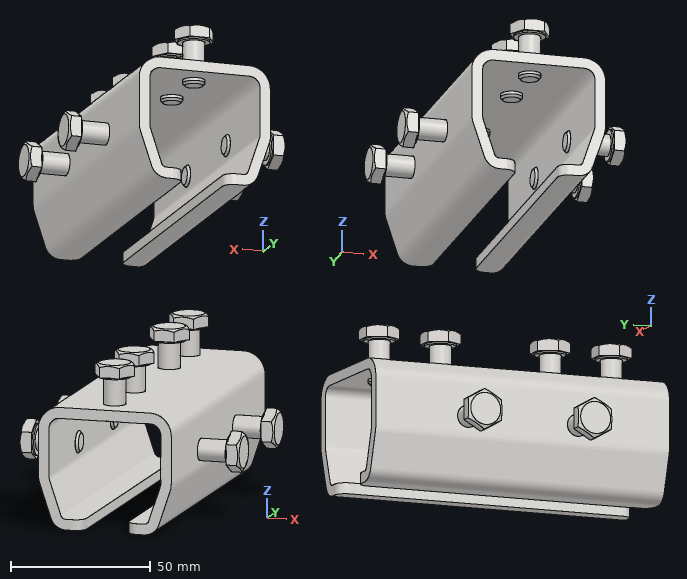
import cadquery as cq
import math

CHANNEL_LENGTH = 115.0
CHANNEL_WIDTH = 50.0
CHANNEL_HEIGHT = 45.0
WALL = 4.0
FLANK_ANGLE = 18.5
BEND_HEIGHT = 18.0
TOP_RADIUS = 8.0
BEND_RADIUS = 8.6
LIP_RADIUS = 6.0
SLOT_WIDTH = 16.0
LIP_CORNER_RADIUS = 4.0

SHANK_DIAMETER = 8.0
SHANK_LENGTH = 16.0
TIP_CHAMFER_LENGTH = 0.9
TIP_CHAMFER_DEPTH = 0.8
HEAD_SIDES = 6
HEAD_ACROSS_FLATS = 13.0
HEAD_HEIGHT = 5.3
WASHER_FACE_HEIGHT = 0.6
HEAD_FACE_DIAMETER = 11.7
CROWN_ANGLE = 30.0

TOTAL_WIDTH = 82.6
TOTAL_HEIGHT = 60.3
INNER_BOLT_Y = 21.5
OUTER_BOLT_Y = 45.4
SIDE_BOLT_HEIGHT = 25.0

BOLT_LENGTH = SHANK_LENGTH + HEAD_HEIGHT
TOP_TIP_Z = TOTAL_HEIGHT - BOLT_LENGTH
SIDE_TIP_X = TOTAL_WIDTH / 2 - BOLT_LENGTH
TOP_BOLT_YS = (-OUTER_BOLT_Y, -INNER_BOLT_Y, INNER_BOLT_Y, OUTER_BOLT_Y)
SIDE_BOLT_YS = (-INNER_BOLT_Y, INNER_BOLT_Y)


def rounded_prism(inset):
    """Full-length prism of the channel outline, moved inward by inset, with rounded bends."""
    lean = math.radians(FLANK_ANGLE)
    half_width = CHANNEL_WIDTH / 2 - inset
    top = CHANNEL_HEIGHT - inset
    bend = BEND_HEIGHT + inset * math.tan(lean / 2)
    floor_half_width = half_width - (bend - inset) * math.tan(lean)
    right_corners = [(floor_half_width, inset), (half_width, bend), (half_width, top)]
    left_corners = [(-x, z) for x, z in reversed(right_corners)]
    prism = (
        cq.Workplane("XZ")
        .polyline(right_corners + left_corners)
        .close()
        .extrude(CHANNEL_LENGTH / 2, both=True)
    )
    radii = (LIP_RADIUS, BEND_RADIUS, TOP_RADIUS)
    for (x, z), radius in zip(right_corners, radii):
        for side in (-1, 1):
            corner_edge = cq.selectors.NearestToPointSelector((side * x, 0, z))
            prism = prism.edges("|Y").edges(corner_edge).fillet(radius - inset)
    return prism


def make_channel():
    """Hollow profile with a bottom slot, rounded lip corners and one hole per bolt."""
    channel = rounded_prism(0).cut(rounded_prism(WALL))
    slot = cq.Workplane("XY").box(SLOT_WIDTH, CHANNEL_LENGTH, 2 * WALL)
    channel = channel.cut(slot)
    lip_zone = cq.selectors.BoxSelector(
        (-SLOT_WIDTH, -CHANNEL_LENGTH, 0),
        (SLOT_WIDTH, CHANNEL_LENGTH, WALL),
    )
    channel = channel.edges("|Z").edges(lip_zone).fillet(LIP_CORNER_RADIUS)

    shank_radius = SHANK_DIAMETER / 2
    for y in TOP_BOLT_YS:
        hole = cq.Solid.makeCylinder(shank_radius, SHANK_LENGTH, cq.Vector(0, y, TOP_TIP_Z))
        channel = channel.cut(cq.Workplane(hole))
    for y in SIDE_BOLT_YS:
        hole = cq.Solid.makeCylinder(
            shank_radius,
            CHANNEL_WIDTH,
            cq.Vector(-CHANNEL_WIDTH / 2, y, SIDE_BOLT_HEIGHT),
            cq.Vector(1, 0, 0),
        )
        channel = channel.cut(cq.Workplane(hole))
    return channel


def make_bolt():
    """Bolt along +Z with its tip at the origin and two head corners on the X axis."""
    shank_radius = SHANK_DIAMETER / 2
    face_radius = HEAD_FACE_DIAMETER / 2
    across_corners = HEAD_ACROSS_FLATS / math.cos(math.pi / HEAD_SIDES)
    corner_radius = across_corners / 2
    head_base = SHANK_LENGTH + WASHER_FACE_HEIGHT
    crown_drop = (corner_radius - face_radius) * math.tan(math.radians(CROWN_ANGLE))

    hexagon = (
        cq.Workplane("XY")
        .workplane(offset=head_base)
        .polygon(HEAD_SIDES, across_corners)
        .extrude(HEAD_HEIGHT - WASHER_FACE_HEIGHT)
    )
    crown = (
        cq.Workplane("XZ")
        .moveTo(0, head_base)
        .lineTo(corner_radius, head_base)
        .lineTo(corner_radius, BOLT_LENGTH - crown_drop)
        .lineTo(face_radius, BOLT_LENGTH)
        .lineTo(0, BOLT_LENGTH)
        .close()
        .revolve(360, (0, 0), (0, 1))
    )
    shank = (
        cq.Workplane("XZ")
        .lineTo(shank_radius - TIP_CHAMFER_DEPTH, 0)
        .lineTo(shank_radius, TIP_CHAMFER_LENGTH)
        .lineTo(shank_radius, SHANK_LENGTH)
        .lineTo(face_radius, SHANK_LENGTH)
        .lineTo(face_radius, head_base)
        .lineTo(0, head_base)
        .close()
        .revolve(360, (0, 0), (0, 1))
    )
    return hexagon.intersect(crown).union(shank)


channel = make_channel()
bolt = make_bolt()

top_bolts = [bolt.translate((0, y, TOP_TIP_Z)) for y in TOP_BOLT_YS]

side_bolts = []
for side in (-1, 1):
    lying_bolt = bolt.rotate((0, 0, 0), (0, 1, 0), side * 90)
    for y in SIDE_BOLT_YS:
        side_bolts.append(lying_bolt.translate((side * SIDE_TIP_X, y, SIDE_BOLT_HEIGHT)))

bolts = top_bolts + side_bolts
result = cq.Compound.makeCompound([channel.solids().val(), *[placed.solids().val() for placed in bolts]])